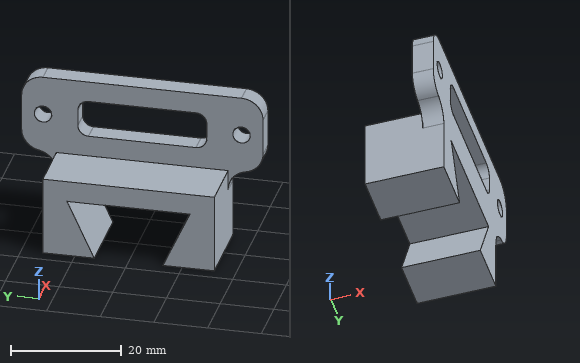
import cadquery as cq
import math

plate_width = 45.0
overall_height = 30.0
block_depth = 15.0
block_width = 32.0
block_height = overall_height / 2
plate_height = overall_height - block_height

wall = 4.0
corner_radius = wall

slot_length = 24.0
slot_height = 7.0
slot_radius = 2.0
hole_spacing = 37.0
hole_diameter = 3.2
opening_z = block_height + plate_height / 2

dovetail_roof_width = 22.9
dovetail_mouth_width = 12.75

plate_front_x = block_depth - wall


def plate_plane():
    """Sketch plane on the plate's front face: local x is Y, local y is Z."""
    return cq.Workplane("YZ", origin=(plate_front_x, 0, 0))


def make_block():
    """Rail clamp block with a dovetail channel running along X."""
    block = cq.Workplane("XY").box(
        block_depth, block_width, block_height, centered=(False, True, False)
    )
    roof_z = block_height - wall
    channel = (
        cq.Workplane("YZ")
        .moveTo(-dovetail_mouth_width / 2, 0)
        .lineTo(dovetail_mouth_width / 2, 0)
        .lineTo(dovetail_roof_width / 2, roof_z)
        .lineTo(-dovetail_roof_width / 2, roof_z)
        .close()
        .extrude(block_depth)
    )
    return block.cut(channel)


def make_plate():
    """Upright mounting plate with rounded corners."""
    return (
        plate_plane()
        .center(0, opening_z)
        .rect(plate_width, plate_height)
        .extrude(wall)
        .edges("|X")
        .fillet(corner_radius)
    )


def make_gusset(side):
    """Concave blend tangent to the block's side and the plate's lower corner."""
    corner_y = plate_width / 2 - corner_radius
    corner_z = block_height + corner_radius
    blend_y = block_width / 2 + corner_radius
    blend_z = corner_z - math.sqrt((2 * corner_radius) ** 2 - (blend_y - corner_y) ** 2)
    tangent_y = (corner_y + blend_y) / 2
    tangent_z = (corner_z + blend_z) / 2
    start_angle = math.atan2(corner_z - blend_z, corner_y - blend_y)
    middle_angle = (start_angle + math.pi) / 2
    middle_y = blend_y + corner_radius * math.cos(middle_angle)
    middle_z = blend_z + corner_radius * math.sin(middle_angle)
    inner_y = block_width / 2 - wall
    return (
        plate_plane()
        .moveTo(side * inner_y, blend_z)
        .lineTo(side * block_width / 2, blend_z)
        .threePointArc((side * middle_y, middle_z), (side * tangent_y, tangent_z))
        .lineTo(side * corner_y, corner_z)
        .lineTo(side * inner_y, corner_z)
        .close()
        .extrude(wall)
    )


def make_openings():
    """Rounded slot and two screw holes through the plate."""
    slot = (
        plate_plane()
        .center(0, opening_z)
        .rect(slot_length, slot_height)
        .extrude(wall)
        .edges("|X")
        .fillet(slot_radius)
    )
    holes = (
        plate_plane()
        .center(0, opening_z)
        .pushPoints([(-hole_spacing / 2, 0), (hole_spacing / 2, 0)])
        .circle(hole_diameter / 2)
        .extrude(wall)
    )
    return slot.union(holes)


body = make_block().union(make_plate())
for side in (-1, 1):
    body = body.union(make_gusset(side))
result = body.cut(make_openings())